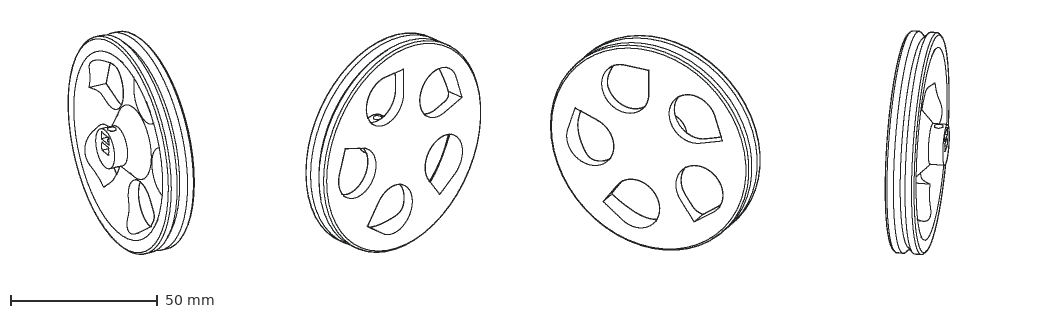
import cadquery as cq
import math


wheel_radius = 76 / 2
rim_width = 10
rim_chamfer = 0.75
groove_depth = 2
groove_half_width = groove_depth

rim_face_inner_radius = 33
dish_depth = 6
dish_floor_radius = rim_face_inner_radius - dish_depth
dish_fillet_radius = 5

hub_radius = 14 / 2
hub_projection = 5
hub_base_radius = hub_radius + dish_depth

window_count = 5
window_radius = 9
window_pitch_radius = 22.5

shaft_diameter = 5.4
shaft_flat_width = 3
shaft_socket_depth = 10

screw_diameter = 3
screw_axis_y = -hub_projection / 2
nut_width = 5.7
nut_thickness = 2.6
nut_center_z = 3.9


def make_wheel_body():
    """Revolve the half section: radius along X, wheel axis along Y."""
    chamfer_radius = wheel_radius - rim_chamfer
    groove_center_y = rim_width / 2

    wall_angle = math.radians(45)
    tangent_length = dish_fillet_radius * math.tan(wall_angle / 2)
    floor_tangent_radius = dish_floor_radius - tangent_length
    fillet_center_y = dish_depth - dish_fillet_radius

    def fillet_point(angle):
        return (
            floor_tangent_radius + dish_fillet_radius * math.sin(angle),
            fillet_center_y + dish_fillet_radius * math.cos(angle),
        )

    section = (
        cq.Workplane("XY")
        .moveTo(0, -hub_projection)
        .lineTo(hub_radius, -hub_projection)
        .lineTo(hub_radius, 0)
        .lineTo(hub_base_radius, dish_depth)
        .lineTo(floor_tangent_radius, dish_depth)
        .threePointArc(fillet_point(wall_angle / 2), fillet_point(wall_angle))
        .lineTo(rim_face_inner_radius, 0)
        .lineTo(chamfer_radius, 0)
        .lineTo(wheel_radius, rim_chamfer)
        .lineTo(wheel_radius, groove_center_y - groove_half_width)
        .lineTo(wheel_radius - groove_depth, groove_center_y)
        .lineTo(wheel_radius, groove_center_y + groove_half_width)
        .lineTo(wheel_radius, rim_width - rim_chamfer)
        .lineTo(chamfer_radius, rim_width)
        .lineTo(0, rim_width)
        .close()
    )
    return section.revolve(360, (0, 0, 0), (0, 1, 0))


def make_window():
    """Round window with one square corner, which sits on the wheel's vertical centerline."""
    center_x = window_radius
    center_z = math.sqrt(window_pitch_radius**2 - center_x**2)
    top_z = center_z + window_radius
    diagonal = window_radius * math.sqrt(0.5)
    return (
        cq.Workplane("XZ")
        .moveTo(0, center_z)
        .lineTo(0, top_z)
        .lineTo(center_x, top_z)
        .threePointArc((center_x + diagonal, center_z - diagonal), (0, center_z))
        .close()
        .extrude(-rim_width)
    )


def make_shaft_socket():
    """Blind round bore narrowed by two horizontal flats, open at the hub face."""
    hub_face = cq.Workplane("XZ", origin=(0, -hub_projection, 0))
    bore = hub_face.circle(shaft_diameter / 2).extrude(-shaft_socket_depth)
    flats = hub_face.rect(shaft_diameter, shaft_flat_width).extrude(-shaft_socket_depth)
    return bore.intersect(flats)


def make_nut_trap():
    """Slot for a hexagonal nut, open at the hub face and ending in the nut's point."""
    half_width = nut_width / 2
    shoulder_y = screw_axis_y + half_width * math.tan(math.radians(30))
    point_y = screw_axis_y + half_width / math.cos(math.radians(30))
    return (
        cq.Workplane("XY", origin=(0, 0, nut_center_z - nut_thickness / 2))
        .moveTo(-half_width, -hub_projection)
        .lineTo(-half_width, shoulder_y)
        .lineTo(0, point_y)
        .lineTo(half_width, shoulder_y)
        .lineTo(half_width, -hub_projection)
        .close()
        .extrude(nut_thickness)
    )


def make_screw_hole():
    """Radial hole from the top of the hub down to the shaft socket."""
    return (
        cq.Workplane("XY", origin=(0, screw_axis_y, 0))
        .circle(screw_diameter / 2)
        .extrude(hub_radius)
    )


result = make_wheel_body()

window = make_window()
for index in range(window_count):
    turn = index * 360 / window_count
    result = result.cut(window.rotate((0, 0, 0), (0, 1, 0), turn))

result = result.cut(make_shaft_socket())
result = result.cut(make_nut_trap())
result = result.cut(make_screw_hole())